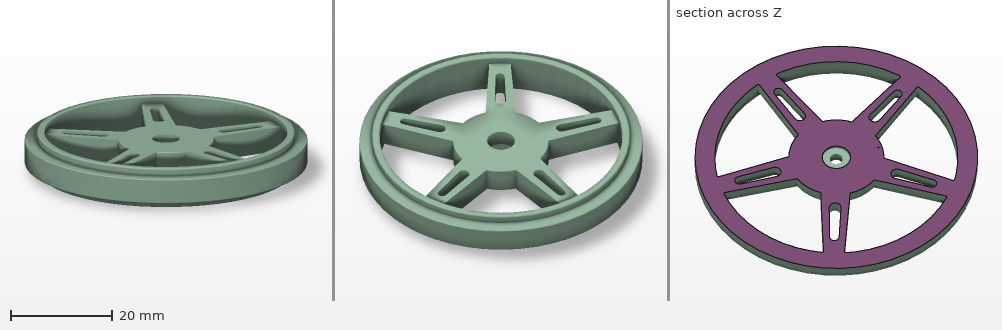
import cadquery as cq
import math

TREAD_DIAMETER = 56.0
TREAD_WIDTH = 4.9
TREAD_FILLET = 0.2
FLANGE_DIAMETER = 51.0
FLANGE_WIDTH = 8.0
FLANGE_FILLET = 0.35
BORE_DIAMETER = 48.0

HUB_DIAMETER = 18.9
HUB_FILLET = 0.2
AXLE_HOLE_DIAMETER = 2.5
COUNTERBORE_DIAMETER = 5.5
COUNTERBORE_DEPTH = 3.1

SPOKE_COUNT = 5
SPOKE_ROOT_RADIUS = 8.75
SPOKE_ROOT_WIDTH = 5.95
SPOKE_TIP_OVERLAP = 0.2
SPOKE_TIP_RADIUS = BORE_DIAMETER / 2 + SPOKE_TIP_OVERLAP
SPOKE_TIP_WIDTH = 4.2
SPOKE_TIP_FILLET = 0.2

SLOT_INNER_END = 11.55
SLOT_INNER_ARC_RADIUS = 1.1
SLOT_OUTER_END = 20.9
SLOT_OUTER_ARC_RADIUS = 0.9


def disc(diameter, width):
    """Cylinder about Z, centred on the mid-plane."""
    return cq.Workplane("XY", origin=(0, 0, -width / 2)).circle(diameter / 2).extrude(width)


def make_rim():
    tread = disc(TREAD_DIAMETER, TREAD_WIDTH).edges().fillet(TREAD_FILLET)
    rim = tread.union(disc(FLANGE_DIAMETER, FLANGE_WIDTH)).cut(disc(BORE_DIAMETER, FLANGE_WIDTH))
    return rim.faces("<Z or >Z").edges().fillet(FLANGE_FILLET)


def make_spoke():
    return (
        cq.Workplane("XY", origin=(0, 0, -TREAD_WIDTH / 2))
        .moveTo(0, 0)
        .lineTo(SPOKE_ROOT_WIDTH / 2, SPOKE_ROOT_RADIUS)
        .lineTo(SPOKE_TIP_WIDTH / 2, SPOKE_TIP_RADIUS)
        .lineTo(-SPOKE_TIP_WIDTH / 2, SPOKE_TIP_RADIUS)
        .lineTo(-SPOKE_ROOT_WIDTH / 2, SPOKE_ROOT_RADIUS)
        .close()
        .extrude(TREAD_WIDTH)
    )


def make_slot():
    """Slot whose straight sides are tangent to both end arcs."""
    inner_center = SLOT_INNER_END + SLOT_INNER_ARC_RADIUS
    outer_center = SLOT_OUTER_END - SLOT_OUTER_ARC_RADIUS
    taper = math.asin((SLOT_INNER_ARC_RADIUS - SLOT_OUTER_ARC_RADIUS) / (outer_center - inner_center))
    inner_x = SLOT_INNER_ARC_RADIUS * math.cos(taper)
    inner_y = inner_center + SLOT_INNER_ARC_RADIUS * math.sin(taper)
    outer_x = SLOT_OUTER_ARC_RADIUS * math.cos(taper)
    outer_y = outer_center + SLOT_OUTER_ARC_RADIUS * math.sin(taper)
    return (
        cq.Workplane("XY", origin=(0, 0, -TREAD_WIDTH / 2))
        .moveTo(inner_x, inner_y)
        .lineTo(outer_x, outer_y)
        .threePointArc((0, SLOT_OUTER_END), (-outer_x, outer_y))
        .lineTo(-inner_x, inner_y)
        .threePointArc((0, SLOT_INNER_END), (inner_x, inner_y))
        .close()
        .extrude(TREAD_WIDTH)
    )


wheel = make_rim().union(disc(HUB_DIAMETER, TREAD_WIDTH).edges().fillet(HUB_FILLET))

spoke = make_spoke()
slot = make_slot()
for index in range(SPOKE_COUNT):
    angle = index * 360 / SPOKE_COUNT
    wheel = wheel.union(spoke.rotate((0, 0, 0), (0, 0, 1), angle))
    wheel = wheel.cut(slot.rotate((0, 0, 0), (0, 0, 1), angle))

EDGE_TOLERANCE = 0.005
tip_edges = [
    edge
    for edge in wheel.edges("|Z").vals()
    if math.isclose(math.hypot(edge.Center().x, edge.Center().y), BORE_DIAMETER / 2, abs_tol=EDGE_TOLERANCE)
    and math.isclose(edge.Length(), TREAD_WIDTH, abs_tol=EDGE_TOLERANCE)
]
wheel = wheel.newObject(tip_edges).fillet(SPOKE_TIP_FILLET)

wheel = wheel.cut(disc(AXLE_HOLE_DIAMETER, TREAD_WIDTH))
counterbore = (
    cq.Workplane("XY", origin=(0, 0, TREAD_WIDTH / 2 - COUNTERBORE_DEPTH))
    .circle(COUNTERBORE_DIAMETER / 2)
    .extrude(COUNTERBORE_DEPTH)
)
wheel = wheel.cut(counterbore)

result = wheel